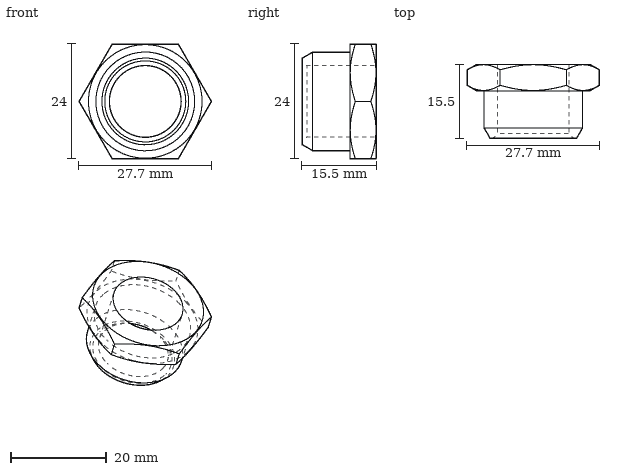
import cadquery as cq
import math

head_corners = 27.7
head_thickness = 5.51
head_face_diameter = 23.78
head_chamfer_angle = 30.0

total_length = 15.5
spigot_diameter = 20.67
spigot_chamfer_length = 2.2
spigot_chamfer_angle = 30.0

bore_diameter = 14.95
bore_mouth_diameter = 16.95
bore_chamfer_angle = 45.0


def revolve_about_y(points):
    """Turn a closed (radius, y) profile about the Y axis."""
    return cq.Workplane("XY").polyline(points).close().revolve(360, (0, 0, 0), (0, 1, 0))


def make_head():
    """Hexagon from y = -head_thickness to y = 0, with both faces chamfered."""
    hexagon = cq.Workplane("XZ").polygon(6, head_corners).extrude(head_thickness)
    corner_radius = head_corners / 2
    face_radius = head_face_diameter / 2
    drop = (corner_radius - face_radius) * math.tan(math.radians(head_chamfer_angle))
    envelope = revolve_about_y([
        (0, 0),
        (face_radius, 0),
        (corner_radius, -drop),
        (corner_radius, drop - head_thickness),
        (face_radius, -head_thickness),
        (0, -head_thickness),
    ])
    return hexagon.intersect(envelope)


def make_spigot():
    """Cylinder along -Y with a chamfered free end."""
    radius = spigot_diameter / 2
    inset = spigot_chamfer_length * math.tan(math.radians(spigot_chamfer_angle))
    return revolve_about_y([
        (0, 0),
        (radius, 0),
        (radius, spigot_chamfer_length - total_length),
        (radius - inset, -total_length),
        (0, -total_length),
    ])


def make_bore():
    """Through hole with a conical mouth at the spigot end."""
    bore_radius = bore_diameter / 2
    mouth_radius = bore_mouth_diameter / 2
    mouth_depth = (mouth_radius - bore_radius) / math.tan(math.radians(bore_chamfer_angle))
    return revolve_about_y([
        (0, 0),
        (bore_radius, 0),
        (bore_radius, mouth_depth - total_length),
        (mouth_radius, -total_length),
        (0, -total_length),
    ])


result = make_head().union(make_spigot()).cut(make_bore())